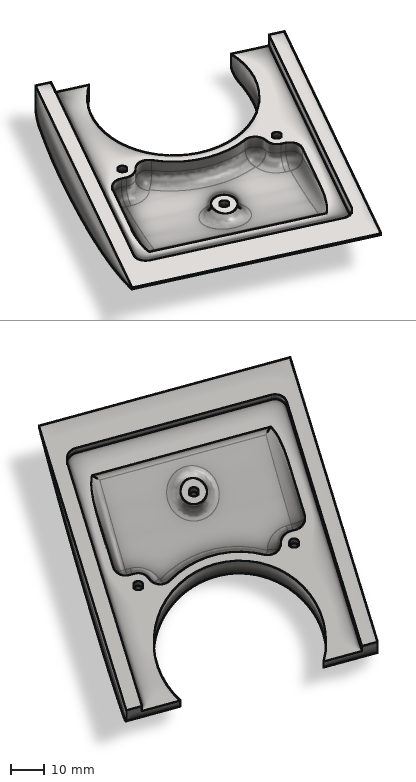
import cadquery as cq
import math

length = 95
width = 79.0
height = 16.6
lowest_x = 24.2
rear_radius = 78.85
front_radius = 166.25
heel_radius = 5.2
tip_radius = 0.7
skin = 2.9

recess_depth = 4.5
recess_end = 85.0
recess_width = 69.2
recess_corner = 3.8

bore_x = 13.1
bore_radius = 26.0
bore_wall = 2.85

blend = 4.0
pocket_start = 42.9
pocket_end = 77.8
pocket_width = 60.2
screw_x = 38.95
screw_y = 24.5
hole_diameter = 2.9
hole_depth = 4.3
drill_angle = 118
boss_x = 63.2
boss_radius = 4.0


def on_circle(center, toward, radius):
    """Point at the given radius from center, in the direction of another point."""
    dx = toward[0] - center[0]
    dy = toward[1] - center[1]
    ratio = radius / math.hypot(dx, dy)
    return (center[0] + dx * ratio, center[1] + dy * ratio)


def arc_middle(center, start, end, radius):
    """Middle of the shorter arc from start to end about the center."""
    chord_middle = ((start[0] + end[0]) / 2, (start[1] + end[1]) / 2)
    return on_circle(center, chord_middle, radius)


def mirrored(point):
    return (point[0], -point[1])


def curve_depth(x, offset):
    """Z of the underside curve, moved inward by the offset."""
    radius = (rear_radius if x < lowest_x else front_radius) - offset
    center_z = radius - height + offset
    return center_z - math.sqrt(radius**2 - (x - lowest_x) ** 2)


def side_profile(offset, start, end, top):
    """Side outline between the top level and the underside curve, extruded across the width."""
    rear_mid = (start + lowest_x) / 2
    front_mid = (lowest_x + end) / 2
    return (
        cq.Workplane("XZ")
        .moveTo(start, top)
        .lineTo(start, curve_depth(start, offset))
        .threePointArc((rear_mid, curve_depth(rear_mid, offset)), (lowest_x, offset - height))
        .threePointArc((front_mid, curve_depth(front_mid, offset)), (end, curve_depth(end, offset)))
        .lineTo(end, top)
        .close()
        .extrude(width / 2, both=True)
    )


def make_body():
    body = side_profile(0, 0, length, 0)
    body = body.faces("<X").edges("<Z").fillet(heel_radius)
    return body.faces(">X").edges("<Z").fillet(tip_radius)


def make_recess():
    return (
        cq.Workplane("XY")
        .box(recess_end, recess_width, recess_depth, centered=(False, True, False))
        .translate((0, 0, -recess_depth))
        .edges("|Z and >X")
        .fillet(recess_corner)
    )


def pocket_outline():
    """Pocket outline that curls around the screw holes and follows the bore."""
    bore = (bore_x, 0)
    screw = (screw_x, screw_y)
    guard_radius = pocket_start - screw_x
    rib_radius = bore_radius + bore_wall

    bore_reach = rib_radius + blend
    screw_reach = guard_radius + blend
    span = math.hypot(screw_x - bore_x, screw_y)
    along = (bore_reach**2 - screw_reach**2 + span**2) / (2 * span)
    turn = math.atan2(screw_y, screw_x - bore_x) - math.acos(along / bore_reach)
    lobe = (bore_x + bore_reach * math.cos(turn), bore_reach * math.sin(turn))

    rib_end = on_circle(bore, lobe, rib_radius)
    guard_end = on_circle(screw, lobe, guard_radius)
    guard_start = (pocket_start, screw_y)
    lobe_mid = arc_middle(lobe, rib_end, guard_end, blend)
    guard_mid = arc_middle(screw, guard_start, guard_end, guard_radius)
    half = pocket_width / 2
    corner = (pocket_start + blend, half - blend)
    corner_start = (pocket_start, corner[1])
    corner_mid = on_circle(corner, (pocket_start, half), blend)
    corner_end = (corner[0], half)

    return (
        cq.Workplane("XY")
        .moveTo(*mirrored(rib_end))
        .threePointArc((bore_x + rib_radius, 0), rib_end)
        .threePointArc(lobe_mid, guard_end)
        .threePointArc(guard_mid, guard_start)
        .lineTo(*corner_start)
        .threePointArc(corner_mid, corner_end)
        .lineTo(pocket_end, half)
        .lineTo(pocket_end, -half)
        .lineTo(*mirrored(corner_end))
        .threePointArc(mirrored(corner_mid), mirrored(corner_start))
        .lineTo(*mirrored(guard_start))
        .threePointArc(mirrored(guard_mid), mirrored(guard_end))
        .threePointArc(mirrored(lobe_mid), mirrored(rib_end))
        .close()
    )


def make_pocket():
    """Pocket volume with a rounded floor and the boss left standing."""
    pocket = pocket_outline().extrude(-height)
    pocket = pocket.intersect(side_profile(skin, 0, pocket_end + blend, 0))
    boss = cq.Workplane("XY").center(boss_x, 0).circle(boss_radius).extrude(-height)
    pocket = pocket.cut(boss)
    pocket = pocket.faces("<Z").edges().fillet(blend)
    below_recess = (
        cq.Workplane("XY")
        .box(length, width, height, centered=(False, True, False))
        .translate((0, 0, -recess_depth - height))
    )
    return pocket.intersect(below_recess)


def make_holes():
    """Blind drilled holes with conical tips, starting at the recess floor."""
    radius = hole_diameter / 2
    tip_height = radius / math.tan(math.radians(drill_angle / 2))
    hole = (
        cq.Workplane("XZ")
        .moveTo(0, 0)
        .lineTo(radius, 0)
        .lineTo(radius, -hole_depth)
        .lineTo(0, -hole_depth - tip_height)
        .close()
        .revolve()
    )
    holes = cq.Workplane("XY")
    for x, y in [(screw_x, screw_y), (screw_x, -screw_y), (boss_x, 0)]:
        holes = holes.add(hole.translate((x, y, -recess_depth)))
    return holes.combine()


bore_cut = cq.Workplane("XY").center(bore_x, 0).circle(bore_radius).extrude(-2 * height)
result = make_body().cut(make_recess()).cut(bore_cut).cut(make_pocket()).cut(make_holes())